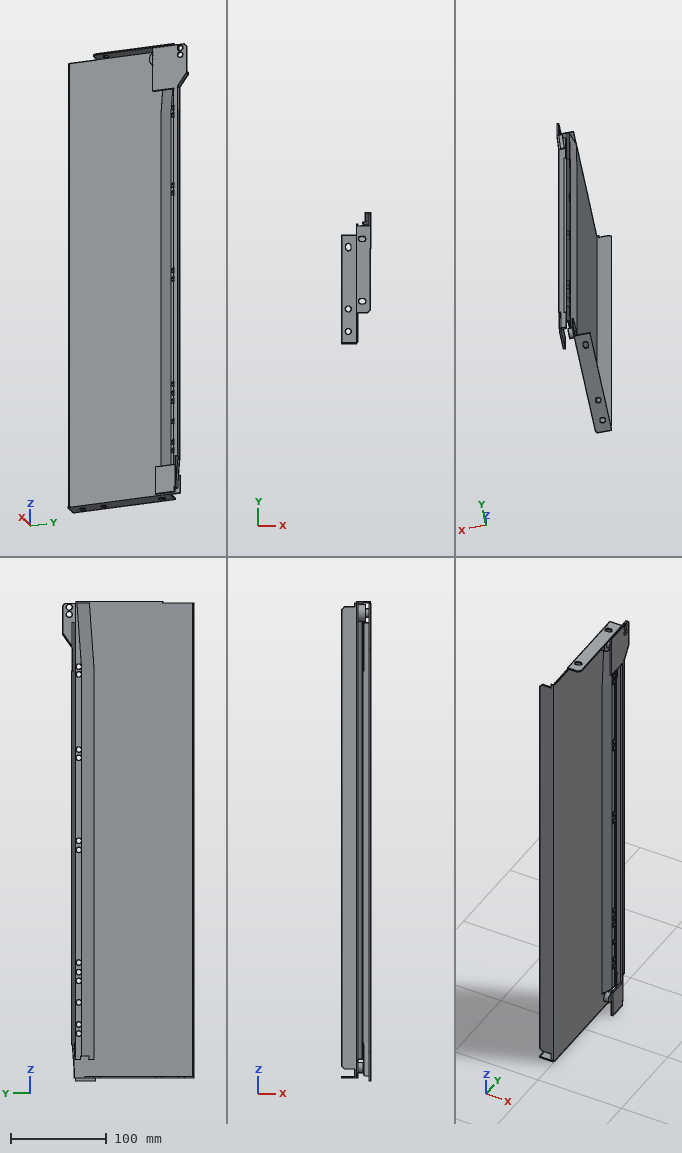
import cadquery as cq
import math

SHEET = 1.5

PANEL_X = 15.5
PANEL_BACK = PANEL_X + SHEET
PANEL_BOTTOM = 3.0
PANEL_TOP = 500.5
BEND_RADIUS = 3.5
TAPER_Z = 429.0
TAPER_SHIFT = 5.0
JOG_Z = 22.5
JOG_START_Y = 104.5
JOG_WIDTH = 13.0
JOG_DEPTH = 4.5
REAR_Y = 124.0
REAR_LIP = 2.5
FOOT_REAR_Y = 125.5
FOOT_TONGUE_Y = 110.0
FOOT_TONGUE_WIDTH = 9.0
FOOT_TONGUE_HEIGHT = 3.5

STRIP_HOLE_DIA = 5.5
STRIP_HOLE_Y = 120.5
STRIP_HOLE_HEIGHTS = [49.5, 59.0, 82.5, 105.0, 114.0, 124.0, 242.0, 251.5, 338.5, 347.0, 425.5, 433.5]

FRONT_FLANGE_BOTTOM = 12.5
FRONT_FLANGE_TOP = 496.5
FLANGE_CORNER = 3.0

BOTTOM_FLANGE_LENGTH = 114.0
BOTTOM_HOLE_X = 7.0
BOTTOM_HOLE_DIA = 6.0
BOTTOM_HOLE_PLACES = [13.0, 36.5]
BOTTOM_SLOT_Y = 101.5
BOTTOM_SLOT_LENGTH = 7.5

TOP_FLANGE_X = 30.0
TOP_FLANGE_FRONT = 32.5
TOP_FLANGE_REAR = 123.5
TOP_SLOT_X = 21.5
TOP_SLOT_PLACES = [44.5, 110.0]
TOP_SLOT_LENGTH = 7.5
SLOT_WIDTH = 5.5

POST_Y = 103.5
POST_Z = 490.0
POST_DIA = 18.0
POST_END = 25.0
POST_PIN_DIA = 9.0

BOSS_Y = 113.0
BOSS_Z = 14.0
BOSS_DIA = 11.0
BOSS_END = 22.5

RAIL_BACK = 30.5
RAIL_SHEET = 2.0
RAIL_WEB_X = RAIL_BACK - RAIL_SHEET
RAIL_LEG_X = 23.0
RAIL_WEB_FRONT = 123.5
RAIL_REAR = 127.5
RAIL_TOP = 480.0
RAIL_BOTTOM = 5.0
LEAN_Z = 39.5
LEAN_SHIFT = 2.5
RAIL_CORNER = 1.5
HEM_X = 22.0
HEM_WIDTH = 3.0
HEM_DEPTH = 0.5
HEM_BOTTOM = 37.5

TAB_FRONT = 100.0
TAB_REAR = 137.5
TAB_TOP = 500.0
TAB_BOTTOM = 452.0
TAB_SLOPE_Z = 467.5
TAB_SLOPE_Y = 126.5
TAB_CORNER = 2.5
TAB_LIP_X = 24.5
TAB_HOLE_Y = 130.5
TAB_HOLE_DIA = 6.0
TAB_HOLE_HEIGHTS = [488.5, 496.0]

FOOT_FRONT = 103.0
FOOT_REAR = 124.0
FOOT_TOP = 30.0


def box(x0, x1, y0, y1, z0, z1):
    """Block between two corners."""
    return cq.Workplane("XY").box(x1 - x0, y1 - y0, z1 - z0, centered=False).translate((x0, y0, z0))


def round_bar(x0, x1, y, z, diameter):
    """Cylinder along X."""
    return cq.Workplane("YZ", origin=(x0, y, z)).circle(diameter / 2).extrude(x1 - x0)


def start_of_section(z):
    """Rounded front fold, drawn from the flange side round to the back of the panel."""
    middle = BEND_RADIUS * math.sqrt(0.5)
    fold_x = PANEL_BACK - BEND_RADIUS
    return (
        cq.Workplane("XY", origin=(0, 0, z))
        .moveTo(fold_x, 0)
        .threePointArc((fold_x + middle, BEND_RADIUS - middle), (PANEL_BACK, BEND_RADIUS))
    )


def end_of_section(section):
    """Inner faces of the front fold."""
    return section.lineTo(PANEL_X, SHEET).lineTo(PANEL_BACK - BEND_RADIUS, SHEET).close()


def jogged_section(z, shift):
    """Panel section with the rear jog moved in +Y by the shift."""
    start = JOG_START_Y + shift
    end = start + JOG_WIDTH
    strip_x = PANEL_X + JOG_DEPTH
    strip_back = strip_x + SHEET
    back_offset = SHEET * math.tan(math.atan2(JOG_DEPTH, JOG_WIDTH) / 2)
    section = (
        start_of_section(z)
        .lineTo(PANEL_BACK, start - back_offset)
        .lineTo(strip_back, end - back_offset)
        .lineTo(strip_back, REAR_Y - SHEET)
        .lineTo(strip_x + REAR_LIP, REAR_Y - SHEET)
        .lineTo(strip_x + REAR_LIP, REAR_Y)
        .lineTo(strip_x, REAR_Y)
        .lineTo(strip_x, end)
        .lineTo(PANEL_X, start)
    )
    return end_of_section(section)


def panel_sheet():
    """Flat foot, straight jogged length and tapered jogged length."""
    foot = start_of_section(PANEL_BOTTOM).lineTo(PANEL_BACK, FOOT_REAR_Y).lineTo(PANEL_X, FOOT_REAR_Y)
    foot = end_of_section(foot).extrude(JOG_Z - PANEL_BOTTOM)
    tongue_rear = FOOT_TONGUE_Y + FOOT_TONGUE_WIDTH
    tongue = box(PANEL_X, PANEL_BACK, FOOT_TONGUE_Y, tongue_rear, JOG_Z, JOG_Z + FOOT_TONGUE_HEIGHT)
    straight = jogged_section(JOG_Z, 0).extrude(TAPER_Z - JOG_Z)
    lower_wire = jogged_section(TAPER_Z, 0).val()
    upper_wire = jogged_section(PANEL_TOP, TAPER_SHIFT).val()
    tapered = cq.Workplane(obj=cq.Solid.makeLoft([lower_wire, upper_wire], True))
    return foot.union(tongue).union(straight).union(tapered, clean=False)


def front_flange():
    flange = box(0, PANEL_BACK - BEND_RADIUS, 0, SHEET, FRONT_FLANGE_BOTTOM, FRONT_FLANGE_TOP)
    return flange.edges("|Y and <X").chamfer(FLANGE_CORNER)


def bottom_flange():
    """Flange folded towards -X at the bottom, with two round holes and a slot."""
    z_top = PANEL_BOTTOM + SHEET
    flange = box(0, PANEL_X, 0, BOTTOM_FLANGE_LENGTH, PANEL_BOTTOM, z_top)
    top = cq.Workplane("XY", origin=(0, 0, z_top))
    holes = (
        top.pushPoints([(BOTTOM_HOLE_X, y) for y in BOTTOM_HOLE_PLACES])
        .circle(BOTTOM_HOLE_DIA / 2)
        .extrude(-SHEET)
    )
    slot = top.center(BOTTOM_HOLE_X, BOTTOM_SLOT_Y).slot2D(BOTTOM_SLOT_LENGTH, SLOT_WIDTH, 90).extrude(-SHEET)
    return flange.cut(holes).cut(slot)


def top_flange():
    """Flange folded towards +X at the top, with two slots."""
    z_top = PANEL_TOP + SHEET
    flange = box(PANEL_X, TOP_FLANGE_X, TOP_FLANGE_FRONT, TOP_FLANGE_REAR, PANEL_TOP, z_top)
    flange = flange.edges("|Z and >X and <Y").chamfer(FLANGE_CORNER)
    slots = (
        cq.Workplane("XY", origin=(0, 0, z_top))
        .pushPoints([(TOP_SLOT_X, y) for y in TOP_SLOT_PLACES])
        .slot2D(TOP_SLOT_LENGTH, SLOT_WIDTH)
        .extrude(-SHEET)
    )
    return flange.cut(slots)


def strip_holes():
    """Row of holes along the rear strip."""
    strip_x = PANEL_X + JOG_DEPTH
    return (
        cq.Workplane("YZ", origin=(strip_x, 0, 0))
        .pushPoints([(STRIP_HOLE_Y, z) for z in STRIP_HOLE_HEIGHTS])
        .circle(STRIP_HOLE_DIA / 2)
        .extrude(REAR_LIP)
    )


def panel_bosses():
    """Stepped post that reaches the rail tab, and the small boss on the foot."""
    post = round_bar(PANEL_BACK, POST_END, POST_Y, POST_Z, POST_DIA)
    pin = round_bar(POST_END, RAIL_WEB_X, POST_Y, POST_Z, POST_PIN_DIA)
    boss = round_bar(PANEL_BACK, BOSS_END, BOSS_Y, BOSS_Z, BOSS_DIA)
    return [post, pin, boss]


def make_panel():
    panel = panel_sheet().cut(strip_holes(), clean=False)
    for piece in [front_flange(), bottom_flange(), top_flange(), *panel_bosses()]:
        panel = panel.union(piece, clean=False)
    return panel


def rail_leg():
    """Leg of the angle, straight above LEAN_Z and leaning forwards below it."""
    inner = RAIL_REAR - RAIL_SHEET
    leg = (
        cq.Workplane("YZ", origin=(RAIL_LEG_X, 0, 0))
        .polyline([
            (inner, RAIL_TOP),
            (RAIL_REAR, RAIL_TOP),
            (RAIL_REAR, LEAN_Z),
            (RAIL_REAR - LEAN_SHIFT, RAIL_BOTTOM),
            (inner - LEAN_SHIFT, RAIL_BOTTOM),
            (inner, LEAN_Z),
        ])
        .close()
        .extrude(RAIL_WEB_X - RAIL_LEG_X)
    )
    return leg.faces("<Z").edges("<X").chamfer(RAIL_CORNER)


def rail_hem():
    """Sloping hem outside the free edge of the leg."""
    root = RAIL_REAR - RAIL_SHEET
    hem_end = HEM_X + HEM_WIDTH
    return (
        cq.Workplane("XY", origin=(0, 0, HEM_BOTTOM))
        .polyline([(HEM_X, root), (hem_end, root), (hem_end, RAIL_REAR + HEM_DEPTH), (HEM_X, RAIL_REAR)])
        .close()
        .extrude(TAPER_Z - HEM_BOTTOM)
    )


def rail_tab():
    """Upper plate with two holes, and the lip along its sloping rear edge."""
    plate = (
        cq.Workplane("YZ", origin=(RAIL_WEB_X, 0, 0))
        .polyline([
            (TAB_FRONT, TAB_BOTTOM),
            (TAB_SLOPE_Y, TAB_BOTTOM),
            (TAB_REAR, TAB_SLOPE_Z),
            (TAB_REAR, TAB_TOP - TAB_CORNER),
            (TAB_REAR - TAB_CORNER, TAB_TOP),
            (TAB_FRONT, TAB_TOP),
        ])
        .close()
        .extrude(RAIL_SHEET)
    )
    lip = (
        cq.Workplane("YZ", origin=(TAB_LIP_X, 0, 0))
        .polyline([
            (TAB_SLOPE_Y, TAB_BOTTOM),
            (TAB_REAR, TAB_SLOPE_Z),
            (TAB_REAR, TAB_SLOPE_Z + RAIL_SHEET),
            (TAB_SLOPE_Y, TAB_BOTTOM + RAIL_SHEET),
        ])
        .close()
        .extrude(RAIL_WEB_X - TAB_LIP_X)
    )
    for z in TAB_HOLE_HEIGHTS:
        plate = plate.cut(round_bar(RAIL_WEB_X, RAIL_BACK, TAB_HOLE_Y, z, TAB_HOLE_DIA))
    return plate.union(lip)


def make_rail():
    web = box(RAIL_WEB_X, RAIL_BACK, RAIL_WEB_FRONT, RAIL_REAR, LEAN_Z, RAIL_TOP)
    lower_web = box(RAIL_WEB_X, RAIL_BACK, RAIL_WEB_FRONT, RAIL_REAR - LEAN_SHIFT, RAIL_BOTTOM, LEAN_Z)
    foot = box(RAIL_WEB_X, RAIL_BACK, FOOT_FRONT, FOOT_REAR, 0, FOOT_TOP)
    rail = rail_leg()
    for piece in [web, lower_web, foot, rail_hem(), rail_tab()]:
        rail = rail.union(piece)
    return rail


panel = make_panel()
rail = make_rail()

result = cq.Compound.makeCompound([panel.solids().val(), rail.solids().val()])